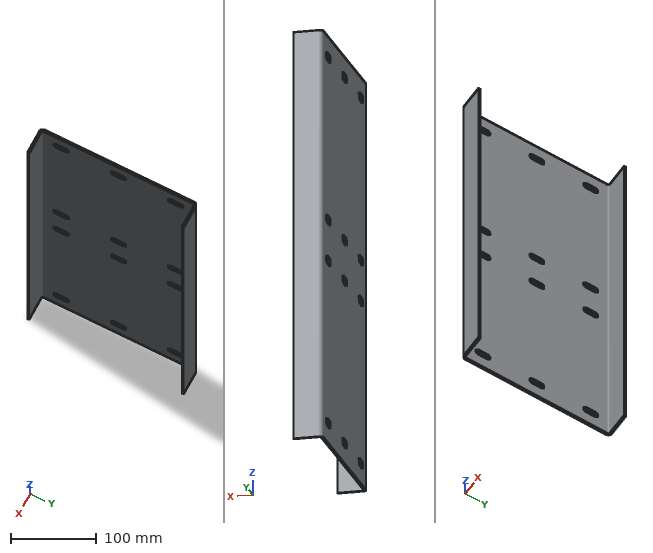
import cadquery as cq

flange_depth = 35.0
web_width = 205.5
length = 500.0

thickness = 2.5
outer_bend_radius = 4.5
inner_bend_radius = outer_bend_radius - thickness

slot_length = 20.0
slot_width = 9.0
column_spacing = 75.0
end_row_offset = 225.0
middle_row_offset = 25.0


def make_channel():
    """Bent sheet channel with its web on the -X side and flanges pointing to +X."""
    outer = (
        cq.Workplane("XY")
        .box(flange_depth, web_width, length)
        .edges("|Z and <X")
        .fillet(outer_bend_radius)
    )
    inner = (
        cq.Workplane("XY")
        .box(flange_depth, web_width - 2 * thickness, length)
        .edges("|Z and <X")
        .fillet(inner_bend_radius)
        .translate((thickness, 0, 0))
    )
    return outer.cut(inner)


def make_slots():
    """Cutters for the slots, in rows mirrored about mid-length."""
    rows = (-end_row_offset, -middle_row_offset, middle_row_offset, end_row_offset)
    columns = (-column_spacing, 0, column_spacing)
    centers = [(y, z) for z in rows for y in columns]
    return (
        cq.Workplane("YZ")
        .pushPoints(centers)
        .slot2D(slot_length, slot_width)
        .extrude(-flange_depth)
    )


result = make_channel().cut(make_slots())